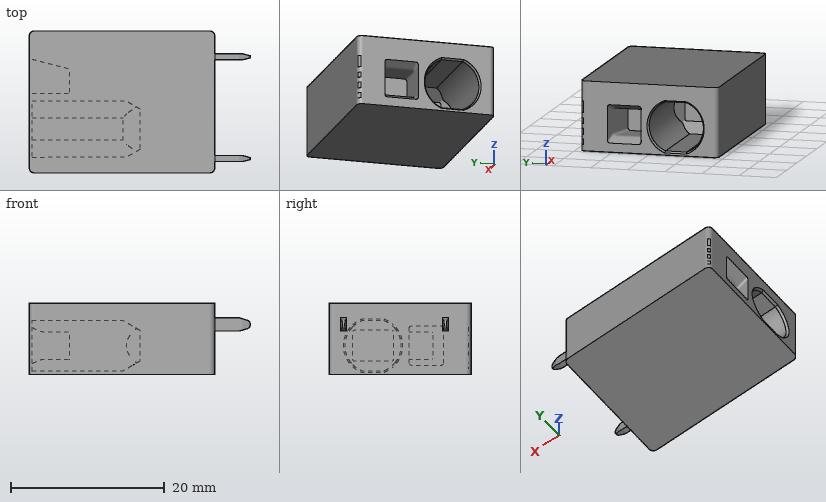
import cadquery as cq
import math

OVERALL_LENGTH = 28.75

HOUSING_LENGTH = 24.15
HOUSING_WIDTH = 18.5
HOUSING_HEIGHT = 9.3
CORNER_RADIUS = 0.7

OPENING_Z = 3.77

ROUND_Y = -3.55
ROUND_ARC_RADIUS = 3.5
ROUND_ARC_OFFSET = 0.15
ROUND_FLAT_HEIGHT = 6.53
ROUND_DEPTH = 14.38
LEAD_IN_DEPTH = 0.35
LEAD_IN_ANGLE = 30.0
FUNNEL_FLOOR_WIDTH = 5.3
FUNNEL_FLOOR_HEIGHT = 4.02
FUNNEL_DRAFT = 30.0
FUNNEL_LENGTH = 2.88
FUNNEL_CORNER_RADIUS = 0.3

SQUARE_Y_MIN = 1.12
SQUARE_Y_MAX = 5.64
SQUARE_FLOOR_Y_MAX = 4.28
SQUARE_DEPTH = 5.25
SQUARE_MOUTH_HEIGHT = 5.1
SQUARE_FLOOR_HEIGHT = 3.62
FLARE_DEPTH = 1.45
FLARE_BLEND_RADIUS = 1.15
SQUARE_CORNER_RADIUS = 0.35

FLATS = ((0.83, 0.7), (2.18, 0.78), (3.62, 0.7), (5.05, 1.52))
FLAT_REACH = 0.37

PIN_Y_POSITIONS = (5.86, -7.35)
PIN_Z = 6.53
PIN_LENGTH = OVERALL_LENGTH - HOUSING_LENGTH
PIN_WIDTH = 0.8
PIN_HEIGHT = 1.75
PIN_TIP_WIDTH = 0.3
PIN_TIP_HEIGHT = 0.9
PIN_WIDTH_TAPER_START = 3.62
PIN_HEIGHT_TAPER_START = 3.15
PIN_TIP_RADIUS = 0.55


def make_housing():
    block = cq.Workplane("XY").box(
        HOUSING_LENGTH, HOUSING_WIDTH, HOUSING_HEIGHT, centered=(False, True, False)
    )
    return block.edges("|Z").fillet(CORNER_RADIUS)


def round_outline(growth=0.0):
    """Outline of the round opening on the front face, grown outwards by an even margin."""
    half_height = ROUND_FLAT_HEIGHT / 2 + growth
    radius = ROUND_ARC_RADIUS + growth
    half_width = ROUND_ARC_OFFSET + radius
    half_chord = ROUND_ARC_OFFSET + math.sqrt(radius**2 - half_height**2)
    return (
        cq.Workplane("YZ", origin=(0, ROUND_Y, OPENING_Z))
        .moveTo(-half_chord, half_height)
        .lineTo(half_chord, half_height)
        .threePointArc((half_width, 0), (half_chord, -half_height))
        .lineTo(-half_chord, -half_height)
        .threePointArc((-half_width, 0), (-half_chord, half_height))
        .close()
    )


def make_round_opening():
    widening = 2 * FUNNEL_LENGTH * math.tan(math.radians(FUNNEL_DRAFT))
    funnel = (
        cq.Workplane("YZ", origin=(ROUND_DEPTH, ROUND_Y, OPENING_Z))
        .rect(FUNNEL_FLOOR_WIDTH, FUNNEL_FLOOR_HEIGHT)
        .workplane(offset=-FUNNEL_LENGTH)
        .rect(FUNNEL_FLOOR_WIDTH + widening, FUNNEL_FLOOR_HEIGHT + widening)
        .loft(ruled=True)
        .edges("not (|Y or |Z)")
        .fillet(FUNNEL_CORNER_RADIUS)
    )
    inner_end = round_outline().extrude(ROUND_DEPTH).intersect(funnel)
    bore = round_outline().extrude(ROUND_DEPTH - FUNNEL_LENGTH).union(inner_end)

    growth = LEAD_IN_DEPTH * math.tan(math.radians(LEAD_IN_ANGLE))
    lead_in = round_outline(growth).extrude(LEAD_IN_DEPTH, taper=LEAD_IN_ANGLE)
    return bore.union(lead_in)


def make_square_opening():
    half_mouth = SQUARE_MOUTH_HEIGHT / 2
    half_floor = SQUARE_FLOOR_HEIGHT / 2
    profile = (
        cq.Workplane("XZ", origin=(0, SQUARE_Y_MAX, OPENING_Z))
        .moveTo(0, half_mouth)
        .lineTo(FLARE_DEPTH, half_floor)
        .lineTo(SQUARE_DEPTH, half_floor)
        .lineTo(SQUARE_DEPTH, -half_floor)
        .lineTo(FLARE_DEPTH, -half_floor)
        .lineTo(0, -half_mouth)
        .close()
        .extrude(SQUARE_Y_MAX - SQUARE_Y_MIN)
    )
    bend = cq.selectors.BoxSelector(
        (FLARE_DEPTH / 2, SQUARE_Y_MIN, 0), (FLARE_DEPTH * 2, SQUARE_Y_MAX, HOUSING_HEIGHT)
    )
    profile = profile.edges("|Y").edges(bend).fillet(FLARE_BLEND_RADIUS)
    plan = (
        cq.Workplane("XY")
        .moveTo(0, SQUARE_Y_MIN)
        .lineTo(0, SQUARE_Y_MAX)
        .lineTo(SQUARE_DEPTH, SQUARE_FLOOR_Y_MAX)
        .lineTo(SQUARE_DEPTH, SQUARE_Y_MIN)
        .close()
        .extrude(HOUSING_HEIGHT)
    )
    lengthwise = "not (|Y or |Z)"
    return profile.intersect(plan).edges(lengthwise).fillet(SQUARE_CORNER_RADIUS)


def make_corner_flats():
    """Slivers outside a chord of the rounded corner, one for each flat."""
    side_y = HOUSING_WIDTH / 2
    chord_y = side_y - FLAT_REACH
    chord_x = CORNER_RADIUS - math.sqrt(CORNER_RADIUS**2 - (CORNER_RADIUS - FLAT_REACH) ** 2)
    flats = cq.Workplane("XY")
    for bottom_z, height in FLATS:
        sliver = (
            cq.Workplane("XY", origin=(0, 0, bottom_z))
            .moveTo(chord_x, chord_y)
            .lineTo(chord_x + FLAT_REACH, side_y)
            .lineTo(chord_x, side_y)
            .close()
            .extrude(height)
        )
        flats = flats.add(sliver)
    return flats.combine()


def make_pin(y):
    """Flat pin that narrows in height and width towards a rounded tip."""

    def tapered_outline(plane, size, tip_size, taper_start):
        return (
            cq.Workplane(plane, origin=(HOUSING_LENGTH, y, PIN_Z))
            .moveTo(0, size / 2)
            .lineTo(taper_start, size / 2)
            .lineTo(PIN_LENGTH, tip_size / 2)
            .lineTo(PIN_LENGTH, -tip_size / 2)
            .lineTo(taper_start, -size / 2)
            .lineTo(0, -size / 2)
            .close()
        )

    side = tapered_outline("XZ", PIN_HEIGHT, PIN_TIP_HEIGHT, PIN_HEIGHT_TAPER_START)
    side = side.extrude(PIN_WIDTH / 2, both=True).faces(">X").edges("|Y").fillet(PIN_TIP_RADIUS)
    plan = tapered_outline("XY", PIN_WIDTH, PIN_TIP_WIDTH, PIN_WIDTH_TAPER_START)
    return side.intersect(plan.extrude(PIN_HEIGHT / 2, both=True))


result = make_housing().cut(make_round_opening()).cut(make_square_opening()).cut(make_corner_flats())
for pin_y in PIN_Y_POSITIONS:
    result = result.union(make_pin(pin_y))